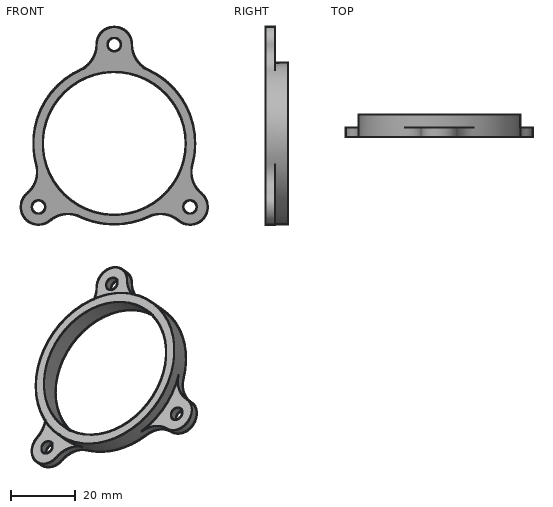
import cadquery as cq
import math

ring_outer_radius = 25.0
ring_inner_radius = 22.0
ring_depth = 7.0

ear_depth = 3.0
ear_radius = 5.5
ear_distance = 30.5
hole_radius = 2.0
ear_angles = (90, 220, 320)

blend_radius = (ear_radius**2 + ear_distance**2 - ring_outer_radius**2) / (
    2 * (ring_outer_radius - ear_radius)
)
blend_center_x = ear_radius + blend_radius
blend_angle = math.atan2(ear_distance, blend_center_x)


def extrude_back(sketch, depth):
    """Extrude an XZ sketch toward +Y."""
    return sketch.extrude(-depth)


def make_ear():
    """Ear pointing along +Z, with blended flanks, reaching inside the ring wall."""
    ring_x = ring_outer_radius * math.cos(blend_angle)
    ring_z = ring_outer_radius * math.sin(blend_angle)

    middle_angle = math.pi + blend_angle / 2
    middle_x = blend_center_x + blend_radius * math.cos(middle_angle)
    middle_z = ear_distance + blend_radius * math.sin(middle_angle)

    outline = (
        cq.Workplane("XZ")
        .moveTo(ring_x, ring_z)
        .threePointArc((middle_x, middle_z), (ear_radius, ear_distance))
        .threePointArc((0, ear_distance + ear_radius), (-ear_radius, ear_distance))
        .threePointArc((-middle_x, middle_z), (-ring_x, ring_z))
        .lineTo(0, 0)
        .close()
    )
    return extrude_back(outline, ear_depth)


def make_hole():
    """Mounting hole cutter through an ear pointing along +Z."""
    outline = cq.Workplane("XZ").center(0, ear_distance).circle(hole_radius)
    return extrude_back(outline, ear_depth)


def place(shape, angle):
    """Turn a +Z shape about the ring axis to an angle measured from +X toward +Z."""
    return shape.rotate((0, 0, 0), (0, 1, 0), 90 - angle)


body = extrude_back(cq.Workplane("XZ").circle(ring_outer_radius), ring_depth)
for angle in ear_angles:
    body = body.union(place(make_ear(), angle))
for angle in ear_angles:
    body = body.cut(place(make_hole(), angle))

bore = extrude_back(cq.Workplane("XZ").circle(ring_inner_radius), ring_depth)
result = body.cut(bore)